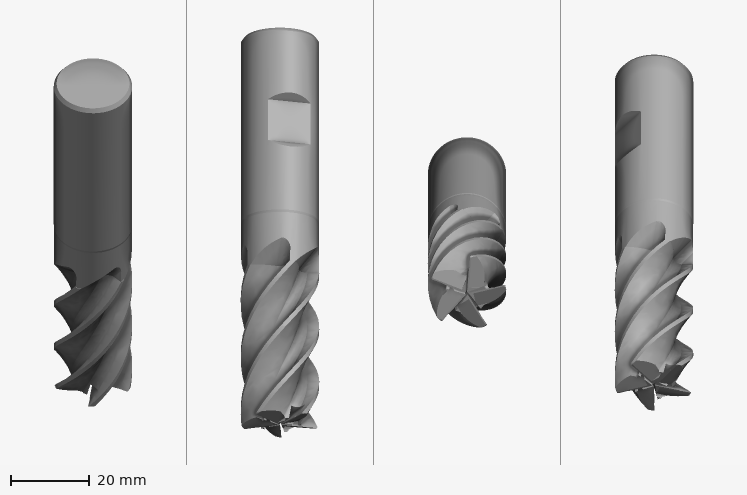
import cadquery as cq
import math

total_length = 104.0
cut_length = 41.0
shank_radius = 10.0
cut_radius = shank_radius

back_chamfer_length = 1.0
back_chamfer_depth = 0.7
neck_radius = 9.9
neck_end = 54.0
shoulder_length = 0.6

flat_center_height = 79.0
flat_length = 11.0
flat_depth = 1.8

tooth_count = 5
tooth_pitch = 360.0 / tooth_count
helix_lead = 74.7
first_edge_angle = 34.5
land_angle = 8.0
relief_middle_angle = 22.0
relief_middle_radius = 7.8
relief_end_angle = 48.0
relief_end_radius = 5.4
flute_floor_angle = 61.0
flute_floor_radius = 5.4
rake_root_angle = 73.0
rake_root_radius = 7.0

tip_corner_radius = 0.5
gash_reference_distance = 5.4
gash_apex_offset = 3.5
gash_corner_run = 2.0
gash_corner_height = 2.8
gash_height = 3.6
gash_heel_run = 0.8
end_land_width = 0.4
clearance_run = 4.2
clearance_rise = 1.2
clearance_inner_radius = 1.6

runout_length = 6.7
runout_depth = 5.2

outside_radius = 15.6


def polar(radius, degrees):
    """Point at a radius and an angle about the tool axis."""
    angle = math.radians(degrees)
    return (radius * math.cos(angle), radius * math.sin(angle))


def edge_angles(height):
    """Angles of all the cutting edges at a height."""
    twist = 360.0 * height / helix_lead
    return [first_edge_angle + twist + tooth * tooth_pitch for tooth in range(tooth_count)]


def add_flute(outline, edge):
    """Continue an outline from the back of a land, through the flute, to the next cutting edge."""
    return (
        outline.threePointArc(
            polar(relief_middle_radius, edge + relief_middle_angle),
            polar(relief_end_radius, edge + relief_end_angle),
        )
        .threePointArc(
            polar(flute_floor_radius, edge + flute_floor_angle),
            polar(rake_root_radius, edge + rake_root_angle),
        )
        .lineTo(*polar(cut_radius, edge + tooth_pitch))
    )


def helical_teeth():
    """Cross-section of all the teeth, twisted up the helix."""
    section = cq.Workplane("XY").moveTo(*polar(cut_radius, first_edge_angle))
    for edge in edge_angles(0):
        section = section.threePointArc(
            polar(cut_radius, edge + land_angle / 2), polar(cut_radius, edge + land_angle)
        )
        section = add_flute(section, edge)
    return section.close().twistExtrude(cut_length, 360.0 * cut_length / helix_lead)


def rounded_envelope():
    """Cylinder that rounds the corners of the teeth at the tip."""
    cylinder = cq.Workplane("XY").circle(cut_radius).extrude(cut_length)
    return cylinder.faces("<Z").edges().fillet(tip_corner_radius)


def gash_outline(distance):
    """Gash cross-section at a distance from the axis, growing in proportion outwards."""
    size = (distance + gash_apex_offset) / (gash_reference_distance + gash_apex_offset)
    corners = [
        (0, 0),
        (gash_corner_run * size, gash_corner_height * size),
        (0, gash_height * size),
        (-gash_heel_run * size, 0),
    ]
    return cq.Wire.makePolygon([cq.Vector(distance, run, height) for run, height in corners], close=True)


def gash(edge):
    """Slot ahead of an end edge that narrows towards the axis."""
    slot = cq.Solid.makeLoft([gash_outline(0), gash_outline(outside_radius)], True)
    return cq.Workplane(slot).rotate((0, 0, 0), (0, 0, 1), edge)


def end_clearance(edge):
    """Wedge below an end face that climbs away from its end edge."""
    return (
        cq.Workplane("YZ", origin=(clearance_inner_radius, 0, 0))
        .polyline([(end_land_width, 0), (clearance_run, 0), (clearance_run, clearance_rise)])
        .close()
        .extrude(outside_radius)
        .rotate((0, 0, 0), (0, 0, 1), edge)
    )


def cutting_body():
    """Cutting body: helical teeth with rounded corners, gashes and end clearances."""
    body = helical_teeth().intersect(rounded_envelope())
    for edge in edge_angles(0):
        body = body.cut(gash(edge)).cut(end_clearance(edge))
    return body


def runout(edge):
    """Flute that goes on straight up and climbs outwards until it leaves the neck."""
    outline = cq.Workplane("XY", origin=(0, 0, cut_length)).moveTo(*polar(cut_radius, edge + land_angle))
    outline = (
        add_flute(outline, edge)
        .lineTo(*polar(outside_radius, edge + tooth_pitch))
        .lineTo(*polar(outside_radius, edge + land_angle))
        .close()
    )
    climb = cq.Vector(*polar(runout_depth, edge + tooth_pitch), runout_length)
    return cq.Workplane(cq.Solid.extrudeLinear(outline.val(), [], climb))


def turned_shank():
    """Neck and shank before the flat and the flutes are cut."""
    profile = (
        cq.Workplane("XZ")
        .moveTo(0, cut_length)
        .lineTo(neck_radius, cut_length)
        .lineTo(neck_radius, neck_end)
        .lineTo(shank_radius, neck_end + shoulder_length)
        .lineTo(shank_radius, total_length - back_chamfer_length)
        .lineTo(shank_radius - back_chamfer_depth, total_length)
        .lineTo(0, total_length)
        .close()
    )
    return profile.revolve(360, (0, 0), (0, 1))


def clamping_notch():
    """Bar with sloping ends that leaves the clamping flat."""
    floor = shank_radius - flat_depth
    half_floor = flat_length / 2
    half_mouth = half_floor + flat_depth
    return (
        cq.Workplane("YZ", origin=(0, 0, flat_center_height))
        .moveTo(floor, -half_floor)
        .lineTo(shank_radius, -half_mouth)
        .lineTo(shank_radius, half_mouth)
        .lineTo(floor, half_floor)
        .close()
        .extrude(shank_radius, both=True)
    )


def shank_body():
    """Shank body: neck and shank with the clamping flat and the flute run-outs."""
    body = turned_shank().cut(clamping_notch())
    for edge in edge_angles(cut_length):
        body = body.cut(runout(edge))
    return body


cutter = cutting_body()
shank = shank_body()

result = cq.Compound.makeCompound([cutter.val(), shank.val()])